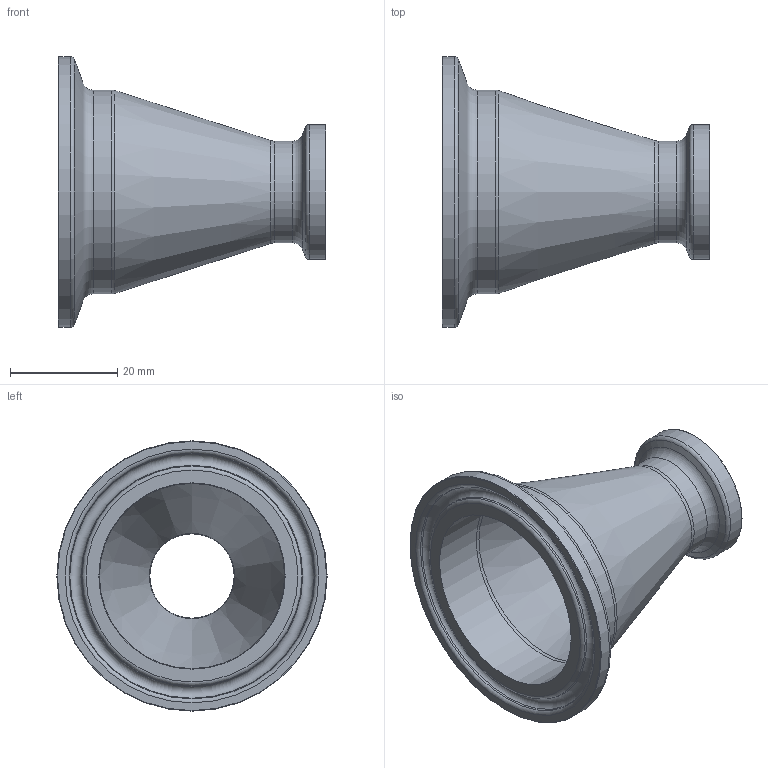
import cadquery as cq
import math

length = 50.0
wall = 1.65

large_tube_radius = 38.1 / 2
large_flange_radius = 50.5 / 2
large_rim_thickness = 2.85
large_tube_end = 10.3

small_tube_radius = 19.05 / 2
small_flange_radius = 25.2 / 2
small_rim_thickness = 3.65
small_tube_start = 40.0

back_angle = math.radians(20.0)
rim_back_radius = 0.8
neck_radius = 2.0
face_edge_radius = 0.1

large_bend_radius = 2.0
small_bend_radius = 2.5

groove_mid_radius = 43.5 / 2
groove_depth = 1.6
groove_bottom_radius = 1.15
groove_lip_radius = 0.8
groove_flank_angle = math.radians(20.0)


def rounded_profile(corners):
    """Close a profile of (x, r, rounding) corners, with an arc at each rounded corner."""
    points = [cq.Vector(x, r) for x, r, _ in corners]
    path = None
    for i, (_, _, rounding) in enumerate(corners):
        corner = points[i]
        to_previous = (points[i - 1] - corner).normalized()
        to_next = (points[(i + 1) % len(points)] - corner).normalized()
        half_angle = to_previous.getAngle(to_next) / 2
        tangent_length = rounding / math.tan(half_angle)
        start = corner + to_previous * tangent_length
        path = path.lineTo(start.x, start.y) if path else cq.Workplane("XZ").moveTo(start.x, start.y)
        if rounding:
            bisector = (to_previous + to_next).normalized()
            middle = corner + bisector * (rounding / math.sin(half_angle) - rounding)
            end = corner + to_next * tangent_length
            path = path.threePointArc((middle.x, middle.y), (end.x, end.y))
    return path.close()


def turn(profile):
    return profile.revolve(360, (0, 0, 0), (1, 0, 0))


def flange_corners(flange_radius, tube_radius, rim_thickness):
    """Corners of one flange, from its face to its neck, as (distance from face, r, rounding)."""
    neck_distance = rim_thickness + (flange_radius - tube_radius) * math.tan(back_angle)
    return [
        (0, flange_radius, face_edge_radius),
        (rim_thickness, flange_radius, rim_back_radius),
        (neck_distance, tube_radius, neck_radius),
    ]


def groove_corners():
    """Corners of the gasket groove, from its inner lip to its outer lip, as (x, r, rounding)."""
    sharp_depth = groove_depth + groove_bottom_radius * (1 / math.sin(groove_flank_angle) - 1)
    half_mouth = sharp_depth * math.tan(groove_flank_angle)
    return [
        (0, groove_mid_radius - half_mouth, groove_lip_radius),
        (sharp_depth, groove_mid_radius, groove_bottom_radius),
        (0, groove_mid_radius + half_mouth, groove_lip_radius),
    ]


def make_body():
    cone_angle = math.atan2(large_tube_radius - small_tube_radius, small_tube_start - large_tube_end)
    bend_shift = wall * math.tan(cone_angle / 2)
    large_bore_radius = large_tube_radius - wall
    small_bore_radius = small_tube_radius - wall
    small_flange = flange_corners(small_flange_radius, small_tube_radius, small_rim_thickness)

    corners = [(0, large_bore_radius, 0)]
    corners += groove_corners()
    corners += flange_corners(large_flange_radius, large_tube_radius, large_rim_thickness)
    corners += [
        (large_tube_end, large_tube_radius, large_bend_radius),
        (small_tube_start, small_tube_radius, small_bend_radius),
    ]
    corners += [(length - distance, r, rounding) for distance, r, rounding in reversed(small_flange)]
    corners += [
        (length, small_bore_radius, 0),
        (small_tube_start - bend_shift, small_bore_radius, small_bend_radius),
        (large_tube_end - bend_shift, large_bore_radius, large_bend_radius),
    ]
    return turn(rounded_profile(corners))


result = make_body()